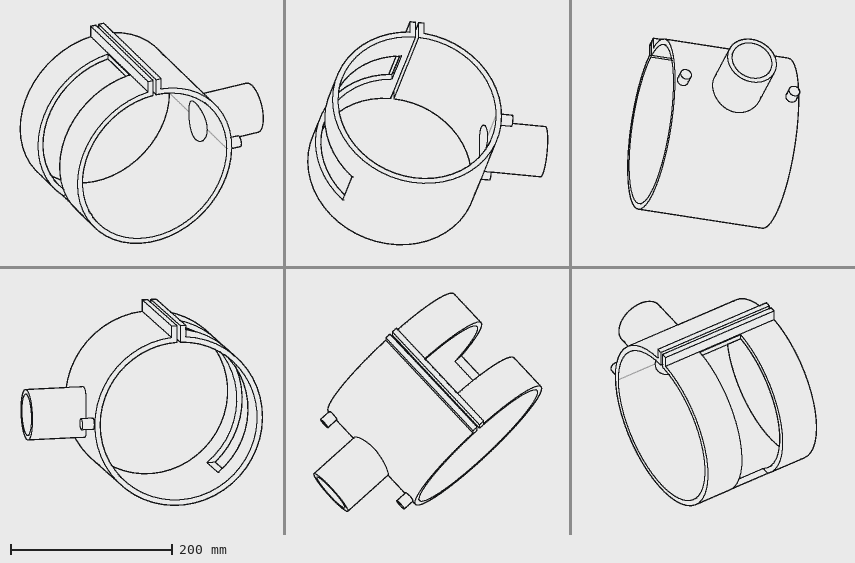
import cadquery as cq

WIDTH = 160.0
INNER_RADIUS = 100.0
WALL = 7.0
OUTER_RADIUS = INNER_RADIUS + WALL

SPLIT_GAP = 4.0
TAB_THICKNESS = WALL
TAB_OUTER_Y = SPLIT_GAP / 2 + TAB_THICKNESS
TAB_TOP = 121.21

WINDOW_WIDTH = 60.0
WINDOW_BOTTOM = -78.6
WINDOW_BACK_Y = -10.0

PIPE_DIAMETER = 63.0
PIPE_WALL = 5.8
PIPE_BORE = PIPE_DIAMETER - 2 * PIPE_WALL
PIPE_END_Y = 175.0

PIN_DIAMETER = 14.0
PIN_OFFSET = 70.0
PIN_LENGTH = 15.0
PIN_END_Y = OUTER_RADIUS + PIN_LENGTH


def x_cylinder(radius):
    """Cylinder on the ring axis, over the full ring width."""
    return cq.Workplane("YZ", origin=(-WIDTH / 2, 0, 0)).circle(radius).extrude(WIDTH)


def y_cylinder(diameter, end_y, x=0.0):
    """Cylinder from the ring centre plane out to end_y, parallel to +Y."""
    return cq.Workplane("XZ").center(x, 0).circle(diameter / 2).extrude(-end_y)


def box_between(width, y_min, y_max, z_min, z_max):
    """Box centred on X = 0 with the given Y and Z limits."""
    box = cq.Workplane("XY").box(width, y_max - y_min, z_max - z_min)
    return box.translate((0, (y_min + y_max) / 2, (z_min + z_max) / 2))


def outer_body():
    """Solid drum with the tab block, pipe and pins, before any opening is cut."""
    body = x_cylinder(OUTER_RADIUS)
    body = body.union(box_between(WIDTH, -TAB_OUTER_Y, TAB_OUTER_Y, 0, TAB_TOP))
    body = body.union(y_cylinder(PIPE_DIAMETER, PIPE_END_Y))
    for side in (-1, 1):
        body = body.union(y_cylinder(PIN_DIAMETER, PIN_END_Y, side * PIN_OFFSET))
    return body


def cut_openings(body):
    """Cut the ring bore, the split between the tabs, the pipe bore and the window."""
    body = body.cut(x_cylinder(INNER_RADIUS))
    body = body.cut(box_between(WIDTH, -SPLIT_GAP / 2, SPLIT_GAP / 2, 0, TAB_TOP))
    body = body.cut(y_cylinder(PIPE_BORE, PIPE_END_Y))
    window = box_between(WINDOW_WIDTH, -OUTER_RADIUS, WINDOW_BACK_Y, WINDOW_BOTTOM, OUTER_RADIUS)
    return body.cut(window)


result = cut_openings(outer_body())